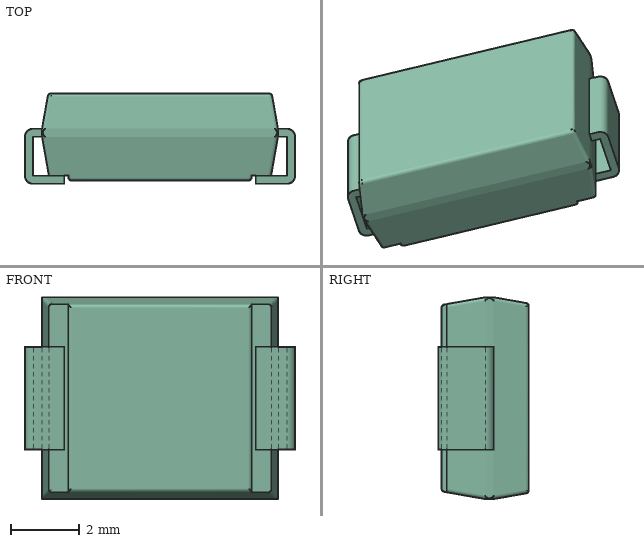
import cadquery as cq
import math

length = 7.9
depth = 2.65
height = 5.9
back_y = depth / 2
mount_y = -depth / 2

lead_thickness = 0.245
lead_width = 3.0
foot_length = 1.15

body_length = 6.9
draft_angle = 10.0
back_depth = 1.03
edge_radius = 0.1
standoff = 0.095
pad_end_inset = 1.27

band_back_y = back_y - back_depth
band_front_y = band_back_y - lead_thickness
end_face_y = mount_y + lead_thickness
pad_face_y = mount_y + standoff
pad_length = length - 2 * pad_end_inset


def rectangle_at(y, inset=0.0):
    """Body outline in a plane of constant Y, drawn in by the given inset."""
    plane = cq.Workplane("XZ", origin=(0, y, 0))
    return plane.rect(body_length - 2 * inset, height - 2 * inset)


def tapered_block(full_size_y, narrow_y, wide_y):
    """Drafted block with rounded slanting corners, at body size at full_size_y."""
    slope = math.tan(math.radians(draft_angle))
    narrow_inset = slope * abs(narrow_y - full_size_y)
    wide_inset = -slope * abs(wide_y - full_size_y)
    block = rectangle_at(narrow_y, narrow_inset)
    block = block.workplane(offset=narrow_y - wide_y)
    block = block.rect(body_length - 2 * wide_inset, height - 2 * wide_inset)
    block = block.loft(ruled=True)
    slanting_corners = block.edges("not(#Y)")
    return slanting_corners.fillet(edge_radius)


def end_step(side):
    """Material removed at one end so that the central pad stands proud."""
    step_depth = end_face_y - pad_face_y
    step = cq.Workplane("XY").box(pad_end_inset, 2 * step_depth, height)
    x = side * (pad_length + pad_end_inset) / 2
    return step.translate((x, end_face_y - step_depth, 0))


def make_body():
    """Intersect the two drafted halves with the straight parting band."""
    front_half = tapered_block(band_front_y, pad_face_y, back_y)
    back_half = tapered_block(band_back_y, back_y, pad_face_y)
    back_half = back_half.faces(">Y").edges().fillet(edge_radius)
    envelope = rectangle_at(pad_face_y).extrude(pad_face_y - back_y)
    body = envelope.intersect(front_half).intersect(back_half)
    for side in (-1, 1):
        body = body.cut(end_step(side))
    return body.faces("<Y").edges().fillet(edge_radius)


def make_lead(side):
    """C-shaped lead: arm out of the band, upright, and foot folded under the body."""
    outer_x = side * length / 2
    inner_x = side * (length / 2 - lead_thickness)
    foot_x = side * (length / 2 - foot_length)
    bend_offset = lead_thickness * math.sqrt(0.5)
    bend_middle_x = inner_x + side * bend_offset
    profile = (
        cq.Workplane("XY", origin=(0, 0, -lead_width / 2))
        .moveTo(foot_x, band_back_y)
        .lineTo(inner_x, band_back_y)
        .threePointArc((bend_middle_x, band_front_y + bend_offset), (outer_x, band_front_y))
        .lineTo(outer_x, end_face_y)
        .threePointArc((bend_middle_x, end_face_y - bend_offset), (inner_x, mount_y))
        .lineTo(foot_x, mount_y)
        .lineTo(foot_x, end_face_y)
        .lineTo(inner_x, end_face_y)
        .lineTo(inner_x, band_front_y)
        .lineTo(foot_x, band_front_y)
        .close()
    )
    return profile.extrude(lead_width)


result = make_body()
for side in (-1, 1):
    result = result.union(make_lead(side))